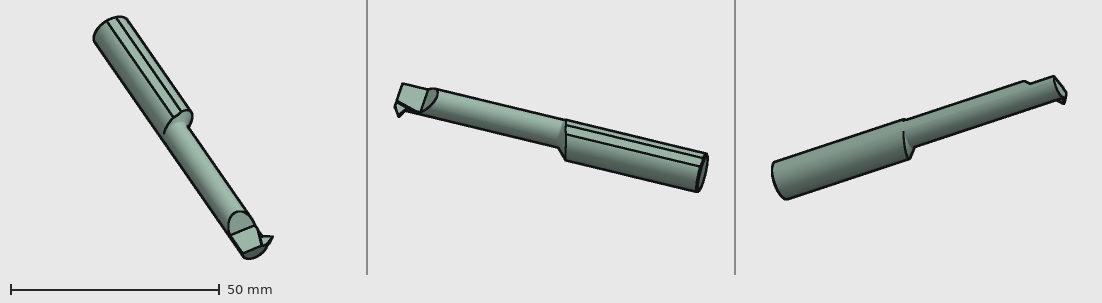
import cadquery as cq
import math

total_length = 76.2
shank_diameter = 9.5
shank_radius = shank_diameter / 2
flat_width = 2.5
flat_height = math.sqrt(shank_radius**2 - (flat_width / 2) ** 2)
back_chamfer_length = 0.3
back_chamfer_depth = 0.45

neck_radius = 3.4
trim_width = 2.7
trim_y = -math.sqrt(shank_radius**2 - (trim_width / 2) ** 2)
neck_y = trim_y + math.sqrt(neck_radius**2 - (trim_width / 2) ** 2)
neck_start = 35.6
root_fillet = 0.7
cone_angle = 45.0

head_start = 69.8
ramp_length = 3.2

tooth_tip_x = 74.75
tooth_tip_y = 4.35
tooth_half_width = total_length - tooth_tip_x
neck_side_y = neck_y + neck_radius
tooth_height = 2.3
tip_relief_angle = 25.0
side_relief_angle = 12.0

rake_depth = 0.2
groove_start_x = 71.0
groove_end_y = 0.4
groove_wall_angle = 45.0


def make_cylinder():
    """Full-length cylinder with a chamfered back end."""
    profile = (
        cq.Workplane("XY")
        .lineTo(0, shank_radius - back_chamfer_depth)
        .lineTo(back_chamfer_length, shank_radius)
        .lineTo(total_length, shank_radius)
        .lineTo(total_length, 0)
        .close()
    )
    return profile.revolve(360, (0, 0, 0), (1, 0, 0))


def make_neck_envelope():
    """Everything inside the neck and the conical shoulder leading into it."""
    angle = math.radians(cone_angle)
    tangent = root_fillet * math.tan(angle / 2)
    cone_radius = 2 * shank_diameter
    cone_start = neck_start - (cone_radius - neck_radius) / math.tan(angle)
    arc_start = (neck_start - tangent * math.cos(angle), neck_radius + tangent * math.sin(angle))
    arc_end = (neck_start + tangent, neck_radius)
    arc_middle = (
        arc_end[0] - root_fillet * math.sin(angle / 2),
        neck_radius + root_fillet * (1 - math.cos(angle / 2)),
    )
    profile = (
        cq.Workplane("XZ")
        .lineTo(0, cone_radius)
        .lineTo(cone_start, cone_radius)
        .lineTo(*arc_start)
        .threePointArc(arc_middle, arc_end)
        .lineTo(total_length, neck_radius)
        .lineTo(total_length, 0)
        .close()
    )
    return profile.revolve(360, (0, 0, 0), (1, 0, 0)).translate((0, neck_y, 0))


def make_shank_flat_cut():
    """Block that leaves the narrow flat along the top of the shank."""
    return (
        cq.Workplane("XY", origin=(0, 0, flat_height))
        .box(total_length, shank_diameter, shank_radius, centered=(False, True, False))
    )


def make_head_cut():
    """Upper half of the head with its sloping run-out."""
    return (
        cq.Workplane("XZ")
        .moveTo(head_start, 0)
        .lineTo(total_length, 0)
        .lineTo(total_length, neck_radius)
        .lineTo(head_start - ramp_length, neck_radius)
        .close()
        .extrude(shank_diameter, both=True)
    )


def make_tooth():
    """Pointed tooth, relieved below its rake face and rooted inside the neck."""
    tip_drop = tooth_height * math.tan(math.radians(tip_relief_angle))
    side_drop = tooth_height * math.tan(math.radians(side_relief_angle))

    def outline(plane, tip_inset, side_inset):
        left_x = tooth_tip_x - tooth_half_width + side_inset
        right_x = total_length - side_inset
        shoulder_y = neck_side_y - tip_inset
        return (
            plane.moveTo(left_x, neck_y)
            .lineTo(left_x, shoulder_y)
            .lineTo(tooth_tip_x, tooth_tip_y - tip_inset)
            .lineTo(right_x, shoulder_y)
            .lineTo(right_x, neck_y)
            .close()
        )

    top = outline(cq.Workplane("XY"), 0, 0)
    bottom_plane = top.workplane(offset=-tooth_height)
    return outline(bottom_plane, tip_drop, side_drop).loft(ruled=True, combine=True)


def make_rake_cut():
    """Shallow groove with a sloping wall, running beside the tooth."""
    wall_run = rake_depth / math.tan(math.radians(groove_wall_angle))

    def outline(plane, shift):
        return (
            plane.moveTo(groove_start_x, neck_side_y + shift)
            .lineTo(total_length, groove_end_y + shift)
            .lineTo(total_length, shank_radius + shift)
            .lineTo(groove_start_x, shank_radius + shift)
            .close()
        )

    top = outline(cq.Workplane("XY"), 0)
    return outline(top.workplane(offset=-rake_depth), wall_run).loft(ruled=True, combine=True)


body = make_cylinder().intersect(make_neck_envelope())
body = body.cut(make_shank_flat_cut()).cut(make_head_cut())
result = body.union(make_tooth()).cut(make_rake_cut())